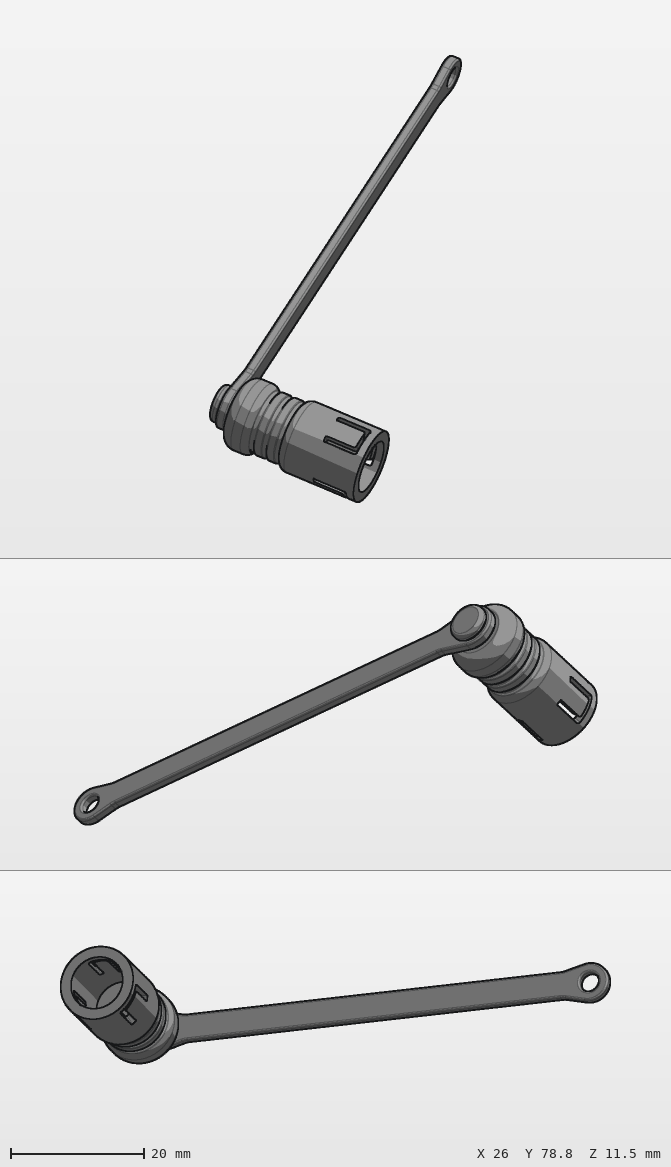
import cadquery as cq
import math


margin = 0.8

total_length = 26.0
strap_reach = 78.75
cap_radius = 11.5 / 2

knob_radius = 6.0 / 2
knob_face_fillet = 0.6
knob_back_fillet = 0.3

strap_front = 1.4
strap_thickness = 1.6
strap_width = 4.1
strap_edge_fillet = 0.3
neck_fillet = 3.15
cap_eye_radius = 3.55
cap_eye_neck = 6.0
free_eye_radius = 6.0 / 2
free_eye_neck = 4.2
free_hole_diameter = 3.0
free_eye_y = strap_reach - cap_radius - free_eye_radius
strap_back = strap_front + strap_thickness

pin_radius = 3.9 / 2
collar_radius = knob_radius

cap_front = 3.2
nose_fillet = 2.0
bulb_end = 6.8
waist_radius = 5.1
waist_start = 7.95
groove_radius = 0.4
groove_lip_fillet = 0.15
groove_pitch = 2.1
groove_count = 3
first_groove_x = waist_start + groove_radius
waist_end = first_groove_x + (groove_count - 1) * groove_pitch + groove_radius
skirt_start = waist_end + (waist_start - bulb_end)

bore_radius = 8.2 / 2
bore_start = skirt_start
slot_start = 19.2
slot_end = 24.7
slot_half_width = 2.5
slot_leg = 0.9
slot_bridge = 0.55
slot_corner = 0.4
slot_tab_corner = 0.4
slot_leg_end_fillet = 0.15
slot_count = 3


def cylinder(radius, x_start, x_end):
    """Solid cylinder on the X axis."""
    return cq.Workplane("YZ", origin=(x_start, 0, 0)).circle(radius).extrude(x_end - x_start)


def shoulder_sag():
    """Run and drop to the middle of the arc that leads from the cap radius to the waist."""
    run = waist_start - bulb_end
    drop = cap_radius - waist_radius
    radius = (run**2 + drop**2) / (2 * drop)
    half_angle = math.asin(run / radius) / 2
    return radius * math.sin(half_angle), radius * (1 - math.cos(half_angle))


def make_cap():
    """Revolved cap: rounded nose, grooved waist and plain skirt."""
    run, drop = shoulder_sag()
    nose_sag = nose_fillet * (1 - math.sqrt(0.5))
    profile = (
        cq.Workplane("XY")
        .moveTo(cap_front, 0)
        .lineTo(cap_front, cap_radius - nose_fillet)
        .threePointArc(
            (cap_front + nose_sag, cap_radius - nose_sag),
            (cap_front + nose_fillet, cap_radius),
        )
        .lineTo(bulb_end, cap_radius)
        .threePointArc((bulb_end + run, cap_radius - drop), (waist_start, waist_radius))
    )
    for index in range(groove_count):
        groove_x = first_groove_x + index * groove_pitch
        if index > 0:
            profile = profile.lineTo(groove_x - groove_radius, waist_radius)
        profile = profile.threePointArc(
            (groove_x, waist_radius - groove_radius),
            (groove_x + groove_radius, waist_radius),
        )
    profile = (
        profile.threePointArc((skirt_start - run, cap_radius - drop), (skirt_start, cap_radius))
        .lineTo(total_length, cap_radius)
        .lineTo(total_length, 0)
        .close()
    )
    lip_zone = cq.selectors.BoxSelector(
        (waist_start - groove_lip_fillet, -cap_radius, -cap_radius),
        (waist_end + groove_lip_fillet, cap_radius, cap_radius),
        boundingbox=True,
    )
    body = profile.revolve(360, (0, 0, 0), (1, 0, 0))
    return body.edges("%CIRCLE").edges(lip_zone).fillet(groove_lip_fillet)


def make_latch_slot():
    """U-shaped cutter with radial walls through the top, closed towards the open end."""
    length = slot_end - slot_start
    inner_height = bore_radius / 2
    outer_height = cap_radius + margin

    def block(half_width, block_length, corner):
        """Radial wedge whose half width is measured at the cap surface."""
        slope = math.tan(math.asin(half_width / cap_radius))
        inner = inner_height * slope
        outer = outer_height * slope
        wedge = (
            cq.Workplane("YZ", origin=(slot_start, 0, 0))
            .polyline([
                (-inner, inner_height),
                (inner, inner_height),
                (outer, outer_height),
                (-outer, outer_height),
            ])
            .close()
            .extrude(block_length)
        )
        return wedge.faces(">X").edges("not |Y").fillet(corner)

    outline = block(slot_half_width, length, slot_corner)
    tab = block(slot_half_width - slot_leg, length - slot_bridge, slot_tab_corner)
    return outline.cut(tab).faces("<X").edges("not |Y").fillet(slot_leg_end_fillet)


def eye_tangent(eye_radius, neck):
    """Y and Z offsets, from the eye centre, of the point where a flank leaves the eye."""
    half_width = strap_width / 2
    distance = math.hypot(neck, half_width)
    angle = math.atan2(half_width, neck) + math.acos(eye_radius / distance)
    return eye_radius * math.cos(angle), eye_radius * math.sin(angle)


def make_strap():
    """Flat strap with an eye at each end and rounded long edges."""
    half_width = strap_width / 2
    cap_y, cap_z = eye_tangent(cap_eye_radius, cap_eye_neck)
    free_y, free_z = eye_tangent(free_eye_radius, free_eye_neck)
    free_neck_y = free_eye_y - free_eye_neck
    strap = (
        cq.Workplane("YZ", origin=(strap_front, 0, 0))
        .moveTo(cap_y, cap_z)
        .lineTo(cap_eye_neck, half_width)
        .lineTo(free_neck_y, half_width)
        .lineTo(free_eye_y - free_y, free_z)
        .threePointArc((free_eye_y + free_eye_radius, 0), (free_eye_y - free_y, -free_z))
        .lineTo(free_neck_y, -half_width)
        .lineTo(cap_eye_neck, -half_width)
        .lineTo(cap_y, -cap_z)
        .threePointArc((-cap_eye_radius, 0), (cap_y, cap_z))
        .close()
        .extrude(strap_thickness)
    )
    neck_zone = cq.selectors.BoxSelector(
        (0, cap_eye_neck - margin, -half_width - margin),
        (cap_front, free_neck_y + margin, half_width + margin),
    )
    strap = strap.edges("|X").edges(neck_zone).fillet(neck_fillet)
    strap = strap.faces("<X or >X").edges().fillet(strap_edge_fillet)
    hole = (
        cq.Workplane("YZ", origin=(strap_front, free_eye_y, 0))
        .circle(free_hole_diameter / 2)
        .extrude(strap_thickness)
    )
    strap = strap.cut(hole)
    rim_zone = cq.selectors.BoxSelector(
        (0, free_eye_y - margin, -margin),
        (cap_front, free_eye_y + margin, margin),
    )
    return strap.edges("%CIRCLE").edges(rim_zone).fillet(strap_edge_fillet)


knob = cylinder(knob_radius, 0, strap_front)
knob = knob.faces("<X").edges().fillet(knob_face_fillet)
knob = knob.faces(">X").edges().fillet(knob_back_fillet)
pin = cylinder(pin_radius, strap_front, strap_back)
collar = cylinder(collar_radius, strap_back, cap_front)

cap = make_cap().cut(cylinder(bore_radius, bore_start, total_length))
latch_slot = make_latch_slot()
for index in range(slot_count):
    cap = cap.cut(latch_slot.rotate((0, 0, 0), (1, 0, 0), index * 360 / slot_count))

result = cap.union(collar).union(pin).union(knob).union(make_strap())